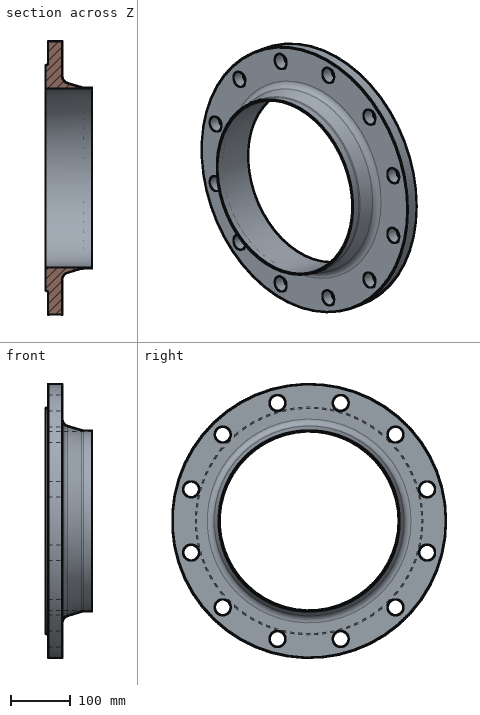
import cadquery as cq
import math

total_length = 78.0
flange_diameter = 460.0
flange_back_x = 28.5
flange_chamfer = 1.0

raised_face_height = 4.0
raised_face_diameter = 378.0
raised_face_base_diameter = 382.3

bore_diameter = 300.0
neck_diameter = 304.0
neck_straight_length = 16.0
hub_taper_angle = 16.6
hub_root_radius = 12.0
hub_end_radius = 9.0

bolt_count = 12
bolt_circle_diameter = 410.0
bolt_hole_diameter = 26.0

taper_end_x = total_length - neck_straight_length
taper_length = taper_end_x - flange_back_x
neck_radius = neck_diameter / 2
hub_root_y = neck_radius + taper_length * math.tan(math.radians(hub_taper_angle))


def circle_edge_at(x, radius):
    """Selector for the circular edge at one X position and radius."""
    margin = 0.25
    return cq.selectors.BoxSelector(
        (x - margin, -radius - margin, -radius - margin),
        (x + margin, radius + margin, radius + margin),
        boundingbox=True,
    ) - cq.selectors.BoxSelector(
        (x - margin, -radius + margin, -radius + margin),
        (x + margin, radius - margin, radius - margin),
        boundingbox=True,
    )


def turned_body():
    """Revolved flange, raised face and hub, with its blends and rim chamfers."""
    bore_radius = bore_diameter / 2
    flange_radius = flange_diameter / 2
    profile = [
        (0, bore_radius),
        (0, raised_face_diameter / 2),
        (raised_face_height, raised_face_base_diameter / 2),
        (raised_face_height, flange_radius),
        (flange_back_x, flange_radius),
        (flange_back_x, hub_root_y),
        (taper_end_x, neck_radius),
        (total_length, neck_radius),
        (total_length, bore_radius),
    ]
    body = cq.Workplane("XY").polyline(profile).close().revolve(360, (0, 0, 0), (1, 0, 0))
    body = body.edges(circle_edge_at(flange_back_x, hub_root_y)).fillet(hub_root_radius)
    body = body.edges(circle_edge_at(taper_end_x, neck_radius)).fillet(hub_end_radius)
    for rim_x in (raised_face_height, flange_back_x):
        body = body.edges(circle_edge_at(rim_x, flange_radius)).chamfer(flange_chamfer)
    return body


def bolt_holes():
    """Through holes on the bolt circle, straddling the Y and Z axes."""
    return (
        cq.Workplane("YZ")
        .polarArray(bolt_circle_diameter / 2, 180 / bolt_count, 360, bolt_count)
        .circle(bolt_hole_diameter / 2)
        .extrude(flange_back_x)
    )


result = turned_body().cut(bolt_holes()).translate((-total_length / 2, 0, 0))